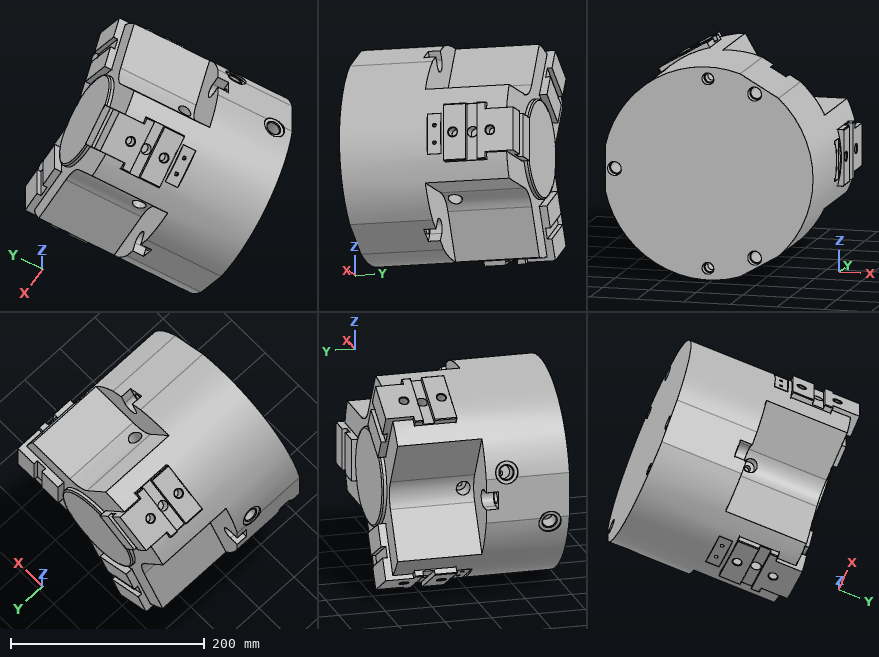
import cadquery as cq
import math

JAW_ANGLES = [0, 120, 240]
FLAT_ANGLES = [60, 180, 300]

body_radius = 112.5
flat_distance = 110.0
base_height = 89.5
body_height = 179.8
arm_half_width = 49.3
notch_fillet = 30.0
boss_radius = 52.0
boss_top = 184.8
boss_chamfer = 1.5

jaw_inner = 54.8
jaw_outer = 115.0
jaw_bottom = 113.5
jaw_shoulder = 158.1
jaw_top = 188.0
jaw_foot_half_width = 30.0
jaw_head_half_width = 22.5
jaw_foot_chamfer = 1.0
end_groove_bottom = 137.0
end_groove_top = 149.2
end_groove_depth = 5.0
key_slot_radius = 85.0
key_slot_width = 11.9
key_slot_depth = 5.0
jaw_hole_radius = 4.5
jaw_hole_chamfer = 0.7
jaw_hole_depth = 13.7
jaw_hole_heights = [123.0, 163.2]
groove_hole_radius = 5.5

bolt_circle_radius = 100.0
bolt_hole_radius = 6.2
bolt_mouth_radius = 7.3
bolt_mouth_depth = 8.0
bolt_head_radius = 9.4
bolt_head_depth = 13.0
blind_hole_radius = 5.0
blind_hole_depth = 18.3
blind_mouth_radius = 6.2
blind_mouth_depth = 8.0
drill_half_angle = 59

PORTS = [(165, 66.9, 1), (195, 20.5, -1)]
port_face_radius = 11.9
port_face_distance = 110.5
port_radius = 7.3
port_chamfer = 1.0
port_depth = 14.8
feed_radius = 2.5
feed_depth = 9.1
feed_axial_offset = 2.7
feed_side_offset = 1.4

oil_height = 100.6
oil_counterbore_radius = 7.3
oil_counterbore_depth = 16.0
oil_hole_radius = 3.2
oil_hole_depth = 9.1

PAD_ANGLES = [0, 240]
pad_distance = 110.2
pad_half_width = 21.2
pad_bottom = 94.5
pad_top = 109.3
pin_hole_radius = 1.8
pin_hole_depth = 4.5
pin_hole_offset = 9.1

clear = 22.8


def turned(shape, angle):
    """Turn a shape about the chuck axis, from +X towards +Z."""
    return shape.rotate((0, 0, 0), (0, 1, 0), -angle)


def block(radial, half_width, axial):
    """Box spanning a radial range along +X and an axial range, centred on the XY plane."""
    size = (radial[1] - radial[0], axial[1] - axial[0], 2 * half_width)
    box = cq.Workplane("XY").box(*size, centered=(False, False, True))
    return box.translate((radial[0], axial[0], 0))


def disc(radius, bottom, top):
    """Cylinder on the chuck axis."""
    return cq.Workplane("XZ", origin=(0, bottom, 0)).circle(radius).extrude(bottom - top)


def axial_hole(radius, x, bottom, top):
    """Cylinder parallel to the chuck axis at distance x along +X."""
    return disc(radius, bottom, top).translate((x, 0, 0))


def radial_hole(radius, height, inner, outer, side=0.0):
    """Cylinder along +X between two distances from the chuck axis."""
    start = cq.Workplane("YZ", origin=(inner, height, side))
    return start.circle(radius).extrude(outer - inner)


def radial_chamfer(radius, height, mouth, size):
    """Cone along +X that chamfers the mouth of a radial hole."""
    cone = cq.Solid.makeCone(
        radius + size, radius, size, cq.Vector(mouth, height, 0), cq.Vector(-1, 0, 0)
    )
    return cq.Workplane(cone)


def jaw_blank():
    """T-shaped jaw on +X: a wide foot below a narrower head."""
    foot = block((jaw_inner, jaw_outer), jaw_foot_half_width, (jaw_bottom, jaw_shoulder))
    foot = foot.faces(">X").edges("|Y").chamfer(jaw_foot_chamfer)
    head = block((jaw_inner, jaw_outer), jaw_head_half_width, (jaw_shoulder, jaw_top))
    return foot.union(head)


def make_jaw():
    """Jaw on +X with its end groove, key slot and screw holes."""
    groove_floor = jaw_outer - end_groove_depth
    groove = block(
        (groove_floor, jaw_outer + clear), jaw_foot_half_width + clear, (end_groove_bottom, end_groove_top)
    )
    key_slot = block(
        (key_slot_radius - key_slot_width / 2, key_slot_radius + key_slot_width / 2),
        jaw_head_half_width + clear,
        (jaw_top - key_slot_depth, jaw_top + clear),
    )
    jaw = jaw_blank().cut(groove).cut(key_slot)
    for height in jaw_hole_heights:
        jaw = jaw.cut(radial_hole(jaw_hole_radius, height, jaw_outer - jaw_hole_depth, jaw_outer))
        jaw = jaw.cut(radial_chamfer(jaw_hole_radius, height, jaw_outer, jaw_hole_chamfer))
    groove_middle = (end_groove_bottom + end_groove_top) / 2
    return jaw.cut(
        radial_hole(groove_hole_radius, groove_middle, groove_floor - jaw_hole_depth, groove_floor)
    )


def notch():
    """V-shaped cutter on +X with a rounded root, between two neighbouring arms."""
    root = arm_half_width / math.sin(math.radians(60))
    far = 2 * body_radius
    spread = (far - root) * math.tan(math.radians(60))
    wedge = (
        cq.Workplane("XZ", origin=(0, base_height, 0))
        .polyline([(root, 0), (far, spread), (far, -spread)])
        .close()
        .extrude(base_height - body_height - clear)
    )
    return wedge.edges("|Y").edges("<X").fillet(notch_fillet)


def bolt_hole():
    """Through hole on +X, wider at the mounting face, with a head recess open to the flat."""
    head_floor = base_height - bolt_head_depth
    hole = axial_hole(bolt_hole_radius, bolt_circle_radius, 0, base_height)
    head = axial_hole(bolt_head_radius, bolt_circle_radius, head_floor, base_height)
    opening = block(
        (bolt_circle_radius, body_radius + clear), bolt_head_radius, (head_floor, base_height)
    )
    mouth = axial_hole(bolt_mouth_radius, bolt_circle_radius, 0, bolt_mouth_depth)
    return hole.union(head).union(opening).union(mouth)


def blind_hole():
    """Drilled hole on +X with a conical bottom and a wider mouth."""
    tip = blind_hole_radius / math.tan(math.radians(drill_half_angle))
    cone = cq.Solid.makeCone(
        blind_hole_radius, 0, tip, cq.Vector(bolt_circle_radius, blind_hole_depth, 0), cq.Vector(0, 1, 0)
    )
    hole = axial_hole(blind_hole_radius, bolt_circle_radius, 0, blind_hole_depth)
    mouth = axial_hole(blind_mouth_radius, bolt_circle_radius, 0, blind_mouth_depth)
    return hole.union(cq.Workplane(cone)).union(mouth)


def port(height, side):
    """Air port along +X: spot face, chamfered bore and an off-centre feed hole in its floor."""
    floor = port_face_distance - port_depth
    face = radial_hole(port_face_radius, height, port_face_distance, body_radius + clear)
    bore = radial_hole(port_radius, height, floor, body_radius)
    chamfer = radial_chamfer(port_radius, height, port_face_distance, port_chamfer)
    feed = radial_hole(
        feed_radius,
        height + side * feed_axial_offset,
        floor - feed_depth,
        floor,
        side * feed_side_offset,
    )
    return face.union(bore).union(chamfer).union(feed)


def oil_hole():
    """Counterbored hole along +X in the rounded root of a notch."""
    sharp_root = arm_half_width / math.sin(math.radians(60))
    root = sharp_root + notch_fillet * (1 / math.sin(math.radians(60)) - 1)
    floor = root - oil_counterbore_depth
    bore = radial_hole(oil_counterbore_radius, oil_height, floor, root + clear)
    return bore.union(radial_hole(oil_hole_radius, oil_height, floor - oil_hole_depth, floor))


def pad():
    """Shallow flat on +X with two pin holes side by side."""
    cutter = block((pad_distance, body_radius + clear), pad_half_width, (pad_bottom, pad_top))
    middle = (pad_bottom + pad_top) / 2
    for side in (-pin_hole_offset, pin_hole_offset):
        cutter = cutter.union(
            radial_hole(pin_hole_radius, middle, pad_distance - pin_hole_depth, pad_distance, side)
        )
    return cutter


def make_housing():
    """Round body with three flats, three notches, jaw guideways and all its holes."""
    housing = disc(body_radius, 0, body_height)
    flat = block((flat_distance, body_radius + clear), body_radius, (0, body_height))
    for angle in FLAT_ANGLES:
        for cutter in (flat, notch(), bolt_hole(), oil_hole()):
            housing = housing.cut(turned(cutter, angle))
    boss = disc(boss_radius, body_height, boss_top).faces(">Y").edges().chamfer(boss_chamfer)
    housing = housing.union(boss)
    for angle in JAW_ANGLES:
        housing = housing.cut(turned(jaw_blank(), angle))
    for angle in (90, 270):
        housing = housing.cut(turned(blind_hole(), angle))
    for angle, height, side in PORTS:
        housing = housing.cut(turned(port(height, side), angle))
    for angle in PAD_ANGLES:
        housing = housing.cut(turned(pad(), angle))
    return housing


housing = make_housing()
jaw = make_jaw()
jaws = [turned(jaw, angle) for angle in JAW_ANGLES]

result = cq.Compound.makeCompound([housing.val(), *[one_jaw.val() for one_jaw in jaws]])